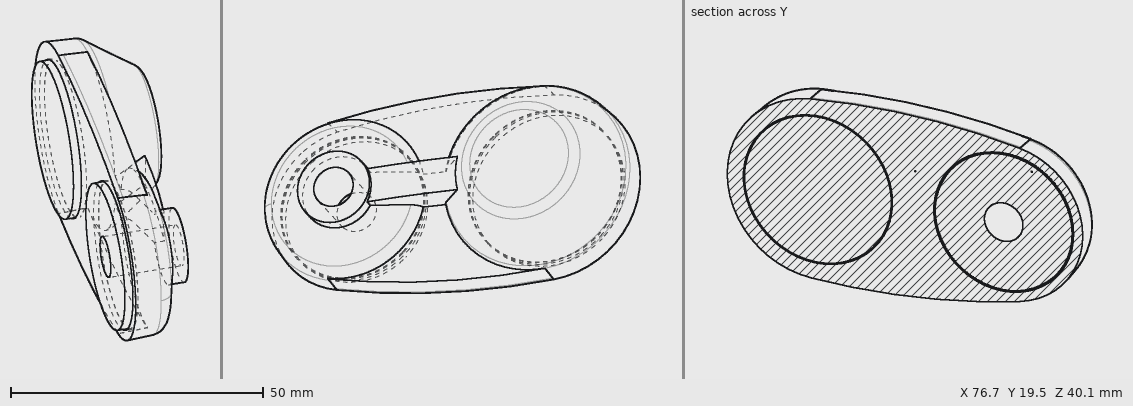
import cadquery as cq
import math


hub_spacing = 40.0
large_end_radius = 19.6
small_end_radius = 17.1
side_arc_radius = 157.5
draft_angle = 3.0

plate_base = 1.6
plate_thickness = 6.0
side_lip_height = 1.0
large_hub_top = 19.5
small_hub_top = 15.0
boss_base = 11.8

large_wall_top = 8.3
large_cone_top_radius = 11.6
large_hub_fillet = 2.5

small_wall_top = 8.95
shoulder_fillet = 3.0
boss_diameter = 15.0
bore_diameter = 8.2

large_pad_diameter = 31.74
large_seat_diameter = 32.0
small_pad_diameter = 29.58
small_seat_diameter = 30.0
seat_depth = 1.0

web_width = 7.0
web_crest_x = 14.0
web_crest_height = 15.1
web_top_radius = 150.0


def drafted_radius(base_radius, level):
    """Radius of a drafted wall at a level above the plate base."""
    return base_radius - (level - plate_base) * math.tan(math.radians(draft_angle))


def side_arc_points():
    """Start, middle and end of the +Y side arc, tangent to both end arcs."""
    to_large = side_arc_radius - large_end_radius
    to_small = side_arc_radius - small_end_radius
    center_x = (to_large**2 - to_small**2 + hub_spacing**2) / (2 * hub_spacing)
    center_y = -math.sqrt(to_large**2 - center_x**2)
    start_angle = math.atan2(-center_y, -center_x)
    end_angle = math.atan2(-center_y, hub_spacing - center_x)
    angles = (start_angle, (start_angle + end_angle) / 2, end_angle)
    return [
        (center_x + side_arc_radius * math.cos(a), center_y + side_arc_radius * math.sin(a))
        for a in angles
    ]


def mirrored(point):
    """The same point on the opposite side of the line through the hubs."""
    return (point[0], -point[1])


def plate_outline(level):
    """Closed outline of the whole plate at a level."""
    start, middle, end = side_arc_points()
    return (
        cq.Workplane("XY", origin=(0, 0, level))
        .moveTo(*start)
        .threePointArc(middle, end)
        .threePointArc((hub_spacing + small_end_radius, 0), mirrored(end))
        .threePointArc(mirrored(middle), mirrored(start))
        .threePointArc((-large_end_radius, 0), start)
        .close()
    )


def make_plate():
    """Plate between the hubs: its long sides have an upright lip before the draft starts."""
    start, middle, end = side_arc_points()
    lip_top = plate_base + side_lip_height
    lip = plate_outline(plate_base).extrude(side_lip_height)
    drafted = plate_outline(lip_top).extrude(plate_thickness - side_lip_height, taper=draft_angle)
    between_ends = (
        cq.Workplane("XY", origin=(0, 0, plate_base))
        .moveTo(*start)
        .threePointArc(middle, end)
        .lineTo(*mirrored(end))
        .threePointArc(mirrored(middle), mirrored(start))
        .close()
        .extrude(plate_thickness)
    )
    return lip.union(drafted).intersect(between_ends)


def revolve_profile(points, x):
    """Solid of revolution about the vertical axis at x, from (radius, level) points."""
    return cq.Workplane("XZ", origin=(x, 0, 0)).polyline(points).close().revolve(360, (0, 0), (0, 1))


def edges_at_level(level):
    """Selector for the circular edge lying at a level."""
    margin = 0.01
    reach = 2 * hub_spacing
    return cq.selectors.BoxSelector((-reach, -reach, level - margin), (reach, reach, level + margin))


def make_large_hub():
    profile = [
        (0, plate_base),
        (large_end_radius, plate_base),
        (drafted_radius(large_end_radius, large_wall_top), large_wall_top),
        (large_cone_top_radius, large_hub_top),
        (0, large_hub_top),
    ]
    hub = revolve_profile(profile, 0)
    for level in (large_wall_top, large_hub_top):
        hub = hub.edges("%CIRCLE").edges(edges_at_level(level)).fillet(large_hub_fillet)
    return hub


def make_small_hub():
    boss_radius = boss_diameter / 2
    profile = [
        (0, plate_base),
        (small_end_radius, plate_base),
        (drafted_radius(small_end_radius, small_wall_top), small_wall_top),
        (boss_radius, boss_base),
        (boss_radius, small_hub_top),
        (0, small_hub_top),
    ]
    hub = revolve_profile(profile, hub_spacing)
    return hub.edges("%CIRCLE").edges(edges_at_level(small_wall_top)).fillet(shoulder_fillet)


def make_pad(x, diameter):
    """Pad reaching from its outer face to the floor of its seat."""
    return cq.Workplane("XY").center(x, 0).circle(diameter / 2).extrude(plate_base + seat_depth)


def make_seat(x, diameter):
    """Shallow round recess in the plate base."""
    return cq.Workplane("XY", origin=(x, 0, plate_base)).circle(diameter / 2).extrude(seat_depth)


def make_web():
    """Upright rib between the hubs, ending on the axis of the small hub."""

    def top_point(x):
        drop = web_top_radius - math.sqrt(web_top_radius**2 - (x - web_crest_x) ** 2)
        return (x, web_crest_height - drop)

    return (
        cq.Workplane("XZ")
        .moveTo(0, plate_base)
        .lineTo(*top_point(0))
        .threePointArc(top_point(hub_spacing / 2), top_point(hub_spacing))
        .lineTo(hub_spacing, plate_base)
        .close()
        .extrude(web_width / 2, both=True)
    )


def make_bore():
    return cq.Workplane("XY").center(hub_spacing, 0).circle(bore_diameter / 2).extrude(small_hub_top)


body = (
    make_plate()
    .union(make_large_hub())
    .union(make_small_hub())
    .union(make_web())
    .cut(make_seat(0, large_seat_diameter))
    .cut(make_seat(hub_spacing, small_seat_diameter))
    .union(make_pad(0, large_pad_diameter))
    .union(make_pad(hub_spacing, small_pad_diameter))
    .cut(make_bore())
)

result = body.rotate((0, 0, 0), (1, 0, 0), -90)